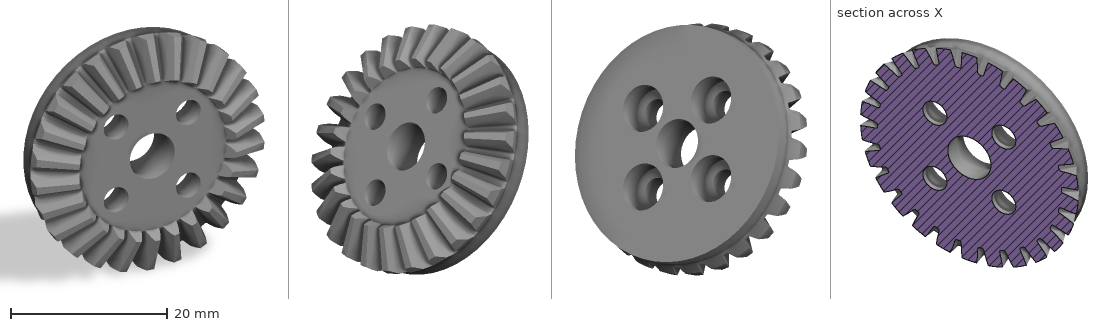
import cadquery as cq
import math

tooth_count = 26
outer_radius = 16.255
disk_radius = 15.4
rim_width = 2.2
thickness = 7.77
apex_x = 12.75
back_cone_rise = 0.5
tip_edge_x = 5.52
root_x = 2.66

floor_corner = (0.25, 0)
flank_foot = (0.49, 0.20)
flank_middle = (0.83, 1.39)
flank_end = (1.51, 2.87)
space_height = 4.0
end_overrun = 0.08

bore_diameter = 6.35
bolt_count = 4
bolt_circle_diameter = 14.5
first_bolt_angle = 45
bolt_diameter = 3.5
counterbore_diameter = 6.1
counterbore_depth = 3.3

knee_x = rim_width + (outer_radius - disk_radius) / back_cone_rise
root_radius = disk_radius + back_cone_rise * (root_x - rim_width)
inner_tip_radius = outer_radius * (apex_x - thickness) / (apex_x - tip_edge_x)
root_slope = root_radius / (apex_x - root_x)
web_front_x = (
    (root_slope * apex_x - inner_tip_radius + back_cone_rise * thickness)
    / (root_slope + back_cone_rise)
)
inner_root_radius = root_slope * (apex_x - web_front_x)
inner_scale = inner_root_radius / root_radius


def make_blank():
    """Turned blank: rim, back cone, outer cylinder, face cone, inner cone and flat web."""
    return (
        cq.Workplane("XY")
        .moveTo(0, 0)
        .lineTo(0, disk_radius)
        .lineTo(rim_width, disk_radius)
        .lineTo(knee_x, outer_radius)
        .lineTo(tip_edge_x, outer_radius)
        .lineTo(thickness, inner_tip_radius)
        .lineTo(web_front_x, inner_root_radius)
        .lineTo(web_front_x, 0)
        .close()
        .revolve(360, (0, 0, 0), (1, 0, 0))
    )


def space_wire(scale):
    """Tooth space outline at +Z, shrunk by `scale` toward the apex."""
    floor_center = (apex_x - scale * (apex_x - root_x), 0, scale * root_radius)
    along_tooth = (back_cone_rise, 0, -1)
    plane = cq.Plane(origin=floor_center, xDir=(0, 1, 0), normal=along_tooth)

    def right(point):
        return (scale * point[0], scale * point[1])

    def left(point):
        return (-scale * point[0], scale * point[1])

    bend = math.sqrt(0.5)
    corner_middle = (
        floor_corner[0] + bend * (flank_foot[0] - floor_corner[0]),
        (1 - bend) * flank_foot[1],
    )
    flare = (flank_end[0] - flank_middle[0]) / (flank_end[1] - flank_middle[1])
    top = (flank_end[0] + flare * (space_height - flank_end[1]), space_height)
    return (
        cq.Workplane(plane)
        .moveTo(*left(floor_corner))
        .lineTo(*right(floor_corner))
        .threePointArc(right(corner_middle), right(flank_foot))
        .threePointArc(right(flank_middle), right(flank_end))
        .lineTo(*right(top))
        .lineTo(*left(top))
        .lineTo(*left(flank_end))
        .threePointArc(left(flank_middle), left(flank_foot))
        .threePointArc(left(corner_middle), left(floor_corner))
        .close()
        .val()
    )


def cut_tooth_spaces(gear):
    """Cut the tapered spaces half a pitch off +Z, leaving a tooth centred on +Z."""
    outer = space_wire(1 + end_overrun)
    inner = space_wire(inner_scale - end_overrun)
    cutter = cq.Solid.makeLoft([outer, inner], True)
    pitch_angle = 360 / tooth_count
    axis_start = cq.Vector(0, 0, 0)
    axis_end = cq.Vector(1, 0, 0)
    cutters = [
        cutter.rotate(axis_start, axis_end, (index + 0.5) * pitch_angle)
        for index in range(tooth_count)
    ]
    return gear.cut(cq.Workplane(obj=cq.Compound.makeCompound(cutters)))


def cut_holes(gear):
    """Central bore and bolt holes counterbored from the back face."""
    back = cq.Workplane("YZ")
    bolts = back.polarArray(bolt_circle_diameter / 2, first_bolt_angle, 360, bolt_count)
    gear = gear.cut(back.circle(bore_diameter / 2).extrude(thickness))
    gear = gear.cut(bolts.circle(bolt_diameter / 2).extrude(thickness))
    return gear.cut(bolts.circle(counterbore_diameter / 2).extrude(counterbore_depth))


result = cut_holes(cut_tooth_spaces(make_blank()))